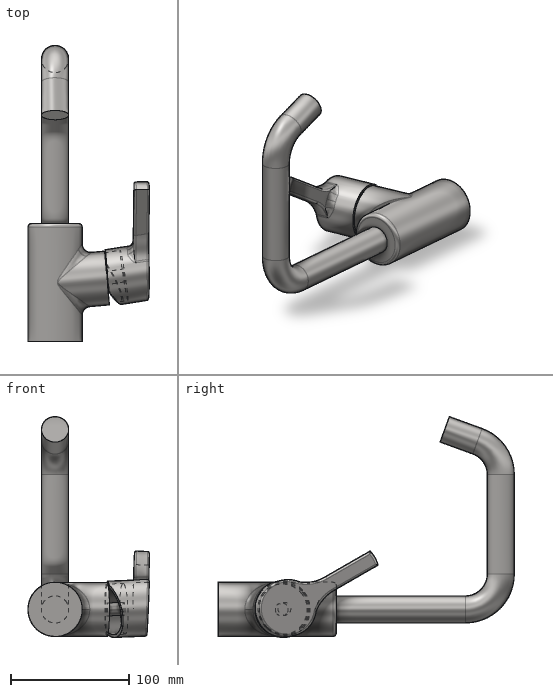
import cadquery as cq
import math

body_radius = 23.0
body_length = 100.0
body_rounding = 3.0

spout_radius = 11.5
spout_bend_radius = 30.0
spout_back_y = 250.6
spout_riser_top = 114.05
spout_return_turn = 70.0
spout_end_length = 29.5

branch_radius = 22.9
branch_y = 50.0
branch_swing = 5.0
branch_length = 44.2
branch_blend = 7.0

lever_rise = 30.0
cap_radius = 24.0
cap_wall = 2.5
cap_gap = 0.5
cap_lean = 4.5
cap_cavity_depth = 14.0
scoop_angle = 26.0
stem_radius = 5.5

outer_face_distance = 34.83
outer_face_lean = -5.0
lever_width = 13.4
lever_thickness = 12.9
lever_reach = 87.5
lever_tip_bulge = 0.8
flare_end = 40.5
flare_inset = 0.4
edge_rounding = 1.8
edge_tolerance = 0.15
root_margin = 2.0
inner_blend = 6.0

oversize = 4 * cap_radius

swing = math.radians(branch_swing)
rise = math.radians(lever_rise)
branch_direction = cq.Vector(math.cos(swing), math.sin(swing), 0)
across_direction = cq.Vector(-math.sin(swing), math.cos(swing), 0)
lever_direction = across_direction * math.cos(rise) + cq.Vector(0, 0, 1) * math.sin(rise)
branch_root = cq.Vector(0, branch_y, 0)


def head_plane(distance, lean=0.0):
    """Plane across the branch, at a distance from its end, leaning toward the lever."""
    origin = branch_root + branch_direction * (branch_length + distance)
    return cq.Plane(origin, lever_direction, branch_direction).rotated((0, lean, 0))


rim_plane = head_plane(cap_gap)
cap_plane = head_plane(cap_gap, cap_lean)
outer_plane = head_plane(outer_face_distance, outer_face_lean)


def make_body():
    body = cq.Workplane("XZ").circle(body_radius).extrude(-body_length)
    return body.faces(">Y").edges().fillet(body_rounding)


def make_branch():
    branch_plane = cq.Plane(branch_root, lever_direction, branch_direction)
    return cq.Workplane(branch_plane).circle(branch_radius).extrude(branch_length)


def make_spout():
    riser_y = spout_back_y - spout_radius
    lower_center = (riser_y - spout_bend_radius, spout_bend_radius)
    upper_center = (riser_y - spout_bend_radius, spout_riser_top)

    def on_bend(center, angle):
        turn = math.radians(angle)
        return (
            center[0] + spout_bend_radius * math.cos(turn),
            center[1] + spout_bend_radius * math.sin(turn),
        )

    return_start = on_bend(upper_center, spout_return_turn)
    heading = math.radians(spout_return_turn + 90)
    spout_end = (
        return_start[0] + spout_end_length * math.cos(heading),
        return_start[1] + spout_end_length * math.sin(heading),
    )
    start_y = body_length / 2
    path = (
        cq.Workplane("YZ")
        .moveTo(start_y, 0)
        .lineTo(lower_center[0], 0)
        .threePointArc(on_bend(lower_center, -45), (riser_y, spout_bend_radius))
        .lineTo(riser_y, spout_riser_top)
        .threePointArc(on_bend(upper_center, spout_return_turn / 2), return_start)
        .lineTo(*spout_end)
    )
    return cq.Workplane("XZ", origin=(0, start_y, 0)).circle(spout_radius).sweep(path)


def make_lever():
    half_width = lever_width / 2
    root_radius = cap_radius - flare_inset
    flare_radius = (flare_end**2 + half_width**2 - root_radius**2) / (2 * (root_radius - half_width))
    flare_center_y = half_width + flare_radius
    flare_angle = math.atan2(flare_center_y, flare_end)
    flare_x = root_radius * math.cos(flare_angle)
    flare_y = root_radius * math.sin(flare_angle)
    middle_angle = (flare_angle + math.pi / 2) / 2
    middle_x = flare_end - flare_radius * math.cos(middle_angle)
    middle_y = flare_center_y - flare_radius * math.sin(middle_angle)

    outline = (
        cq.Workplane(cap_plane)
        .moveTo(flare_x, -flare_y)
        .threePointArc((middle_x, -middle_y), (flare_end, -half_width))
        .lineTo(oversize + flare_end, -half_width)
        .lineTo(oversize + flare_end, half_width)
        .lineTo(flare_end, half_width)
        .threePointArc((middle_x, middle_y), (flare_x, flare_y))
        .threePointArc((-root_radius, 0), (flare_x, -flare_y))
        .close()
        .extrude(oversize)
    )
    tip_corner = lever_reach - lever_tip_bulge
    slab = (
        cq.Workplane(outer_plane)
        .moveTo(-oversize, -oversize)
        .lineTo(tip_corner, -oversize)
        .lineTo(tip_corner, -half_width)
        .threePointArc((lever_reach, 0), (tip_corner, half_width))
        .lineTo(tip_corner, oversize)
        .lineTo(-oversize, oversize)
        .close()
        .extrude(-lever_thickness)
    )
    return outline.intersect(slab)


def make_cap():
    cap = cq.Workplane(cap_plane).workplane(offset=-cap_radius).circle(cap_radius).extrude(oversize)
    beyond_outer_face = cq.Workplane(outer_plane).rect(oversize, oversize).extrude(oversize)
    before_rim = cq.Workplane(rim_plane).rect(oversize, oversize).extrude(-oversize)
    return cap.cut(beyond_outer_face).cut(before_rim)


def lever_edges(head, depth, min_x, max_x):
    """Edges centred at a depth below the outer face and between two places along the lever."""

    def is_wanted(edge):
        center = outer_plane.toLocalCoords(edge.Center())
        return abs(center.z + depth) < edge_tolerance and min_x < center.x < max_x

    return head.newObject([edge for edge in head.edges().vals() if is_wanted(edge)])


def hollow_cap(head):
    cavity_radius = cap_radius - cap_wall
    cavity = cq.Workplane(cap_plane).workplane(offset=-cap_radius)
    cavity = cavity.circle(cavity_radius).extrude(cap_radius + cap_cavity_depth)
    return head.cut(cavity)


def scoop_rim(head):
    """Cut the rim back along a slope on the side away from the lever."""
    scoop_depth = oversize * math.tan(math.radians(scoop_angle))
    section_plane = cq.Plane(rim_plane.origin, rim_plane.xDir, -rim_plane.yDir)
    scoop = (
        cq.Workplane(section_plane)
        .polyline([(0, 0), (-oversize, 0), (-oversize, scoop_depth)])
        .close()
        .extrude(oversize, both=True)
    )
    return head.cut(scoop)


def make_head():
    head = make_cap().union(make_lever())
    root_end = cap_radius + root_margin
    head = lever_edges(head, lever_thickness, root_end, lever_reach).fillet(edge_rounding)
    head = lever_edges(head, lever_thickness, 0, root_end).fillet(inner_blend)
    head = lever_edges(head, 0, -cap_radius, lever_reach).fillet(edge_rounding)
    return scoop_rim(hollow_cap(head))


def make_stem():
    """Stem that carries the cap on the branch end."""
    overlap = 1.0
    stem = cq.Workplane(cap_plane).workplane(offset=-cap_gap - overlap)
    return stem.circle(stem_radius).extrude(cap_gap + cap_cavity_depth + 2 * overlap)


housing = make_body().union(make_branch())
housing = housing.edges("not(%LINE or %CIRCLE)").fillet(branch_blend)
result = housing.union(make_spout()).union(make_stem()).union(make_head())